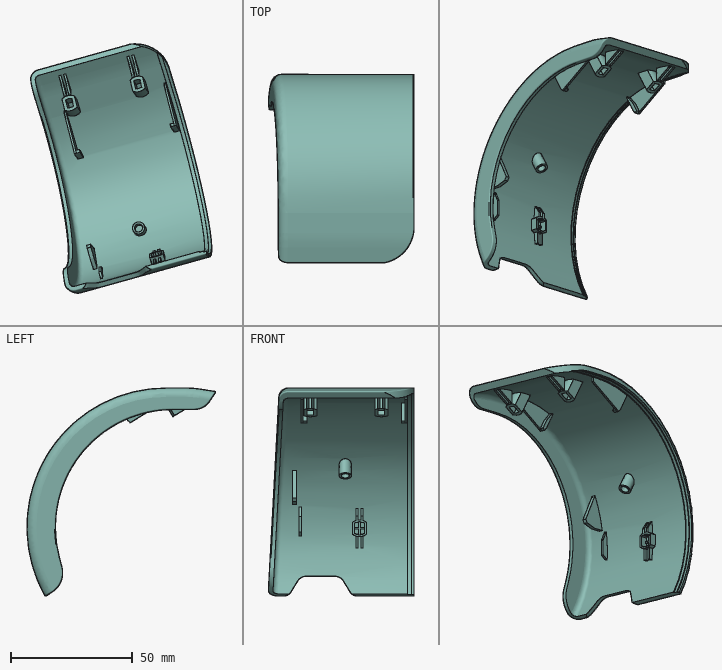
import cadquery as cq
import math

LENGTH = 59.9
TOP = 85.4
SKIN = 3.0
SKIN_THINNING = 1.1
END_WALL = 2.0
WALL_TILT = 3.1
WALL_FOOT_Z = 2.4
OUTER_EDGE_RADIUS = 4.0
INNER_EDGE_RADIUS = 2.05
OVERSIZE = 17.1

MAIN_RADIUS = 57.15
MAIN_Y = 20.25
MAIN_Z = TOP - MAIN_RADIUS
MAX_Y = MAIN_Y + MAIN_RADIUS
MAIN_END_ANGLE = 40.0
NOSE_ARC_Y = 12.1
NOSE_ARC_RADIUS = 38.45
NOSE_ANGLE = 9.0

NOSE_TIP_Y = -0.3
NOSE_TIP_Z = (
    TOP
    - NOSE_ARC_RADIUS * (1 - math.cos(math.radians(NOSE_ANGLE)))
    - (NOSE_ARC_Y - NOSE_TIP_Y - NOSE_ARC_RADIUS * math.sin(math.radians(NOSE_ANGLE)))
    * math.tan(math.radians(NOSE_ANGLE))
)
NOSE_TIP = (NOSE_TIP_Y, NOSE_TIP_Z)
NOSE_LIP = (2.1, 80.4)
RIM_FLAT_Y = 8.7
RIM_Y = 17.5
RIM_Z = 28.4
RIM_RADIUS = 48.2
RIM_END_ANGLE = 15.0
RIM_STRAIGHT = 4.0
FOOT_RADIUS = 9.4
FOOT_LIP_ANGLE = 239.0
FOOT_MIDDLE_ANGLE = 200.0
FOOT_TIP = (70.0, -0.25)

LIP_STEPS = ((2.7, 2.65), (1.2, 2.3))

CORNER_RADIUS = 15.0
EDGE_ROUND = 0.4

NOTCH_X = 21.45
NOTCH_TOP_WIDTH = 16.3
NOTCH_BOTTOM_WIDTH = 26.4
NOTCH_TOP_Z = 8.1
NOTCH_BASE_Z = -0.1
NOTCH_RADIUS = 4.0

LEAN_ANGLE = 59.0
LEAN_Y = -math.cos(math.radians(LEAN_ANGLE))
LEAN_Z = -math.sin(math.radians(LEAN_ANGLE))

TUBE_END = (31.6, 66.4, 49.4)
TUBE_DIAMETER = 5.0
TUBE_BORE = 3.3
TUBE_BORE_DEPTH = 2.6

BOSS_END = (37.4, 72.5, 27.85)
BOSS_WIDTH = 5.7
BOSS_SIDE = 4.8
BOSS_HEIGHT = 6.9
BOSS_WALL = 0.8
CROSS_Y = 74.8
BOSS_RIB_OFFSET = 1.0
BOSS_RIB_WIDTH = 0.9
BOSS_RIB_TOP = 36.05
BOSS_RIB_SLOPE = 3.1
BOSS_RIB_ROOT_Y = 74.8
BOSS_RIB_BOTTOM = 19.7
LOWER_RIB_Y = 73.5

CLIP_XS = (17.25, 46.4)
CLIP_END_Y = 14.8
CLIP_END_Z = 75.3
CLIP_WIDTH = 5.3
CLIP_SIDE = 4.8
CLIP_HEIGHT = 6.5
CLIP_WALL = 1.4
CLIP_RIB_OUTLINE = [(12.0, 77.0), (3.4, 82.1), (3.4, 83.7), (12.0, 83.7)]

HOOK_FIN_WIDTH = 0.85
HOOK_TAB_WIDTH = 1.5
HOOK_FIN_OUTLINE = [(35.0, 71.1), (19.65, 80.65), (19.65, 83.7), (41.35, 81.2), (36.05, 72.1)]
HOOK_TAB_OUTLINE = [(35.0, 71.1), (34.0, 71.8), (36.2, 75.6), (41.35, 81.2), (36.05, 72.1)]
HOOK_FIN_XS = (13.8, 56.55)

LONG_RIB_X = 10.7
LONG_RIB_WIDTH = 1.6
LONG_RIB_HEAD_WIDTH = 2.6
LONG_RIB_HEAD_HEIGHT = 0.6
LONG_RIB_TOP = 52.2
LONG_RIB_BOTTOM = 37.5
LONG_RIB_OUTLINE = [
    (70.65, LONG_RIB_TOP),
    (64.75, 40.3),
    (65.5, 38.9),
    (70.05, LONG_RIB_BOTTOM),
    (MAX_Y, LONG_RIB_BOTTOM),
    (MAX_Y, LONG_RIB_TOP),
]
SHORT_RIB_X = 13.15
SHORT_RIB_WIDTH = 0.9
SHORT_RIB_TOP = 36.6
SHORT_RIB_BOTTOM = 24.8
SHORT_RIB_OUTLINE = [
    (74.75, SHORT_RIB_TOP),
    (72.9, 32.6),
    (72.9, 26.4),
    (75.3, SHORT_RIB_BOTTOM),
    (MAX_Y, SHORT_RIB_BOTTOM),
    (MAX_Y, SHORT_RIB_TOP),
]


def on_circle(center_y, center_z, radius, degrees):
    angle = math.radians(degrees)
    return center_y + radius * math.cos(angle), center_z + radius * math.sin(angle)


def filled_profile(depth, arc_shift=0.0):
    """Region inside the outer curve moved inward by depth, with both ends run on past the part.

    A main arc shifted along +Y leaves a skin that thins from the top to the back.
    """
    arc_y = MAIN_Y + arc_shift
    radius = MAIN_RADIUS - depth
    nose_radius = NOSE_ARC_RADIUS - depth
    nose_z = TOP - NOSE_ARC_RADIUS
    nose = math.radians(NOSE_ANGLE)
    foot_end = on_circle(arc_y, MAIN_Z, radius, -MAIN_END_ANGLE)
    nose_end = on_circle(NOSE_ARC_Y, nose_z, nose_radius, 90 + NOSE_ANGLE)
    front = (nose_end[0] - OVERSIZE * math.cos(nose), nose_end[1] - OVERSIZE * math.sin(nose))
    return (
        cq.Workplane("YZ")
        .workplane(offset=-OVERSIZE)
        .moveTo(*foot_end)
        .threePointArc(on_circle(arc_y, MAIN_Z, radius, 45), (arc_y, TOP - depth))
        .lineTo(NOSE_ARC_Y, TOP - depth)
        .threePointArc(on_circle(NOSE_ARC_Y, nose_z, nose_radius, 90 + NOSE_ANGLE / 2), nose_end)
        .lineTo(*front)
        .lineTo(front[0], foot_end[1])
        .close()
    )


def wall_x(z):
    return (z - WALL_FOOT_Z) * math.tan(math.radians(WALL_TILT))


def rounded_block(depth, arc_shift, wall_shift, edge_radius):
    """Filled profile cut off at -X by the tilted wall plane, with a rounded edge all along it."""
    block = filled_profile(depth, arc_shift).extrude(LENGTH + 2 * OVERSIZE)
    low, high = -2 * OVERSIZE, TOP + OVERSIZE
    beyond_wall = (
        cq.Workplane("XZ")
        .polyline([
            (wall_x(low) + wall_shift, low),
            (wall_x(high) + wall_shift, high),
            (-2 * OVERSIZE, high),
            (-2 * OVERSIZE, low),
        ])
        .close()
        .extrude(2 * TOP, both=True)
    )
    block = block.cut(beyond_wall)
    tilted_face = block.faces("<X")
    front = tilted_face.edges("<Y").vals()[0]
    bottom = tilted_face.edges("<Z").vals()[0]
    curved = [e for e in tilted_face.edges().vals() if not (e.isSame(front) or e.isSame(bottom))]
    return block.newObject(curved).fillet(edge_radius)


def free_edge_prism():
    """Everything kept outside the rim of the end wall and behind the two trimmed tips."""
    rim_end = on_circle(RIM_Y, RIM_Z, RIM_RADIUS, -RIM_END_ANGLE)
    lean = math.radians(RIM_END_ANGLE)
    straight_end = (
        rim_end[0] - RIM_STRAIGHT * math.sin(lean),
        rim_end[1] - RIM_STRAIGHT * math.cos(lean),
    )
    foot_center = on_circle(*straight_end, FOOT_RADIUS, -RIM_END_ANGLE)
    return (
        cq.Workplane("YZ")
        .workplane(offset=-OVERSIZE)
        .moveTo(RIM_Y, RIM_Z + RIM_RADIUS)
        .lineTo(RIM_FLAT_Y, RIM_Z + RIM_RADIUS)
        .tangentArcPoint(NOSE_LIP, relative=False)
        .lineTo(2 * NOSE_TIP[0] - NOSE_LIP[0], 2 * NOSE_TIP[1] - NOSE_LIP[1])
        .lineTo(NOSE_TIP[0] - OVERSIZE, TOP + OVERSIZE)
        .lineTo(FOOT_TIP[0] + OVERSIZE, TOP + OVERSIZE)
        .lineTo(FOOT_TIP[0] + OVERSIZE, FOOT_TIP[1])
        .lineTo(*FOOT_TIP)
        .lineTo(*on_circle(*foot_center, FOOT_RADIUS, FOOT_LIP_ANGLE))
        .threePointArc(on_circle(*foot_center, FOOT_RADIUS, FOOT_MIDDLE_ANGLE), straight_end)
        .lineTo(*rim_end)
        .threePointArc(on_circle(RIM_Y, RIM_Z, RIM_RADIUS, 45), (RIM_Y, RIM_Z + RIM_RADIUS))
        .close()
        .extrude(LENGTH + OVERSIZE)
    )


def notch():
    half_top, half_bottom = NOTCH_TOP_WIDTH / 2, NOTCH_BOTTOM_WIDTH / 2
    return (
        cq.Workplane("XZ")
        .polyline([
            (-OVERSIZE, NOTCH_BASE_Z),
            (NOTCH_X - half_bottom, NOTCH_BASE_Z),
            (NOTCH_X - half_top, NOTCH_TOP_Z),
            (NOTCH_X + half_top, NOTCH_TOP_Z),
            (NOTCH_X + half_bottom, NOTCH_BASE_Z),
            (LENGTH + OVERSIZE, NOTCH_BASE_Z),
            (LENGTH + OVERSIZE, -OVERSIZE),
            (-OVERSIZE, -OVERSIZE),
        ])
        .close()
        .extrude(-2 * TOP)
        .edges("|Y")
        .edges(cq.selectors.BoxSelector((0, -3 * TOP, -0.85), (LENGTH, 3 * TOP, NOTCH_TOP_Z + 0.85)))
        .fillet(NOTCH_RADIUS)
    )


def nose_corner():
    """Waste outside the large rounded corner where the nose meets the +X edge."""
    square = cq.Workplane("XY").box(CORNER_RADIUS, CORNER_RADIUS, 3 * TOP, centered=False)
    arc = cq.Workplane("XY").center(0, CORNER_RADIUS).circle(CORNER_RADIUS).extrude(3 * TOP)
    return square.cut(arc).translate((LENGTH - CORNER_RADIUS, NOSE_TIP_Y, -TOP))


def lip_step(width, thickness):
    lip_start = LENGTH - width
    beside_lip = cq.Workplane("XY").box(2 * TOP, 4 * TOP, 4 * TOP).translate((lip_start - TOP, 0, 0))
    return filled_profile(thickness, SKIN_THINNING).extrude(LENGTH + 2 * OVERSIZE).cut(beside_lip)


def rib(center_x, width, points):
    """Flat rib standing across X, given by its outline in the YZ plane."""
    return cq.Workplane("YZ").workplane(offset=center_x - width / 2).polyline(points).close().extrude(width)


def oblong(plane, width, side, height, length):
    """Prism with two straight sides and bulged ends."""
    return (
        cq.Workplane(plane)
        .moveTo(-width / 2, -side / 2)
        .threePointArc((0, -height / 2), (width / 2, -side / 2))
        .lineTo(width / 2, side / 2)
        .threePointArc((0, height / 2), (-width / 2, side / 2))
        .close()
        .extrude(length)
    )


def leaning_plane(end):
    """Plane at the free end of a leaning post, facing into the cover."""
    return cq.Plane(origin=end, xDir=(1, 0, 0), normal=(0, -LEAN_Y, -LEAN_Z))


def tube():
    plane = leaning_plane(TUBE_END)
    bore = cq.Workplane(plane).circle(TUBE_BORE / 2).extrude(TUBE_BORE_DEPTH)
    return cq.Workplane(plane).circle(TUBE_DIAMETER / 2).extrude(OVERSIZE).cut(bore)


def hollow_oblong(plane, width, side, height, wall):
    bore = oblong(plane, width - 2 * wall, side - wall, height - 2 * wall, OVERSIZE)
    return oblong(plane, width, side, height, OVERSIZE).cut(bore)


def back_boss():
    x, y, z = BOSS_END
    plane = cq.Plane(origin=BOSS_END, xDir=(1, 0, 0), normal=(0, 1, 0))
    boss = hollow_oblong(plane, BOSS_WIDTH, BOSS_SIDE, BOSS_HEIGHT, BOSS_WALL)
    depth = OVERSIZE / 2
    for bar_width, bar_height in ((BOSS_WIDTH - BOSS_WALL, BOSS_WALL), (BOSS_WALL, BOSS_HEIGHT - BOSS_WALL)):
        bar = cq.Workplane("XY").box(bar_width, depth, bar_height)
        boss = boss.union(bar.translate((x, CROSS_Y + depth / 2, z)))
    top = z + BOSS_SIDE / 2
    bottom = z - BOSS_SIDE / 2
    slope_foot = BOSS_RIB_TOP - BOSS_RIB_SLOPE
    upper = [(y, top), (y, slope_foot), (BOSS_RIB_ROOT_Y, BOSS_RIB_TOP), (MAX_Y, BOSS_RIB_TOP), (MAX_Y, top)]
    lower = [
        (LOWER_RIB_Y, bottom),
        (LOWER_RIB_Y, BOSS_RIB_BOTTOM),
        (MAX_Y, BOSS_RIB_BOTTOM),
        (MAX_Y, bottom),
    ]
    for side in (-BOSS_RIB_OFFSET, BOSS_RIB_OFFSET):
        for outline in (upper, lower):
            boss = boss.union(rib(x + side, BOSS_RIB_WIDTH, outline))
    return boss


def clip(x):
    plane = leaning_plane((x, CLIP_END_Y, CLIP_END_Z))
    boss = hollow_oblong(plane, CLIP_WIDTH, CLIP_SIDE, CLIP_HEIGHT, CLIP_WALL)
    for side in (-BOSS_RIB_OFFSET, BOSS_RIB_OFFSET):
        boss = boss.union(rib(x + side, BOSS_RIB_WIDTH, CLIP_RIB_OUTLINE))
    return boss


def hook(fin_x, inward):
    fin = rib(fin_x, HOOK_FIN_WIDTH, HOOK_FIN_OUTLINE)
    tab_x = fin_x + inward * (HOOK_FIN_WIDTH + HOOK_TAB_WIDTH) / 2
    return fin.union(rib(tab_x, HOOK_TAB_WIDTH, HOOK_TAB_OUTLINE))


outer = rounded_block(0, 0, 0, OUTER_EDGE_RADIUS)
cavity = rounded_block(SKIN, SKIN_THINNING, END_WALL, INNER_EDGE_RADIUS)
trimmed = outer.intersect(free_edge_prism()).cut(nose_corner())
top_end_edge = trimmed.faces(">Z").edges(">X").vals()
foot_edge = trimmed.edges("<Z").vals()
rounded = trimmed.newObject(top_end_edge + foot_edge).fillet(EDGE_ROUND)
body = rounded.cut(cavity)
for step_width, step_thickness in LIP_STEPS:
    body = body.cut(lip_step(step_width, step_thickness))
body = body.cut(notch())

fittings = tube().union(back_boss())
for clip_x in CLIP_XS:
    fittings = fittings.union(clip(clip_x))
fittings = fittings.union(hook(HOOK_FIN_XS[0], 1)).union(hook(HOOK_FIN_XS[1], -1))
head_depth = MAX_Y - LONG_RIB_OUTLINE[0][0]
head = cq.Workplane("XY").box(LONG_RIB_HEAD_WIDTH, head_depth, LONG_RIB_HEAD_HEIGHT)
head_center = (LONG_RIB_X, MAX_Y - head_depth / 2, LONG_RIB_TOP - LONG_RIB_HEAD_HEIGHT / 2)
fittings = fittings.union(head.translate(head_center))
fittings = fittings.union(rib(LONG_RIB_X, LONG_RIB_WIDTH, LONG_RIB_OUTLINE))
fittings = fittings.union(rib(SHORT_RIB_X, SHORT_RIB_WIDTH, SHORT_RIB_OUTLINE))

result = body.union(fittings.intersect(filled_profile(SKIN / 2).extrude(LENGTH + OVERSIZE)))